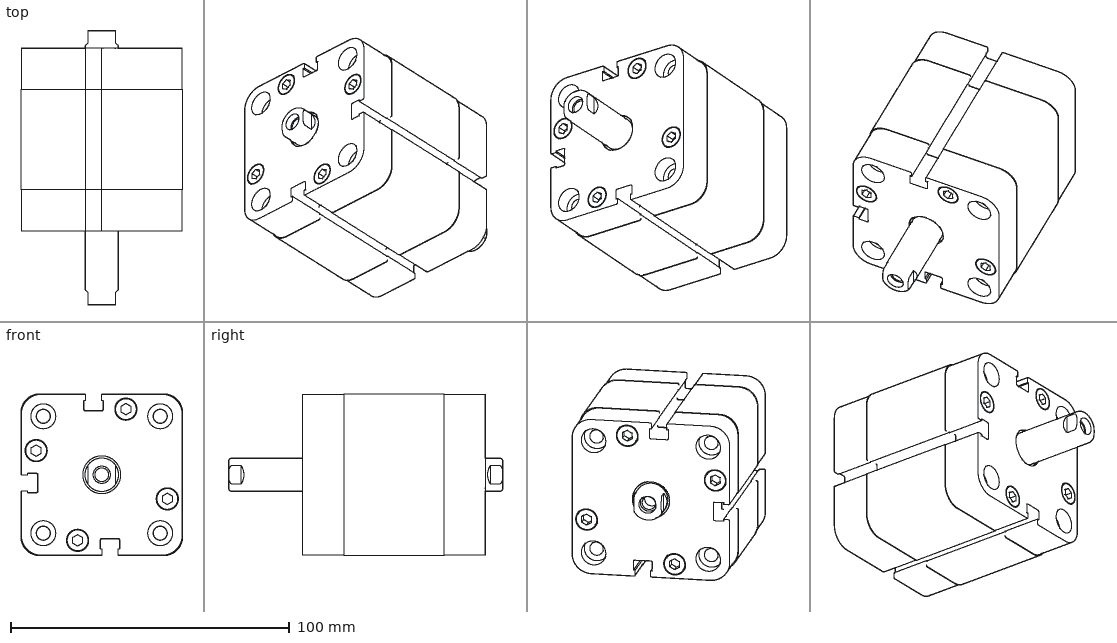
import cadquery as cq
import math


tube_side = 58.1
body_length = 65.7
cap_length = 14.9
cap_inset = 0.2
cap_corner_radius = 7.1
tube_corner_radius = 6.9

slot_offset = 3.0
slot_mouth_width = 5.6
slot_mouth_depth = 2.3
slot_inner_width = 6.9
slot_depth = 6.0
slot_mouth_rounding = 0.5
slot_floor_fillet = 0.5

rod_length = 98.5
rod_diameter = 12.0
rod_front_reach = 26.5
rod_end_fillet = 1.3
rod_flat_width = 10.0
rod_flat_length = 4.5
rod_recess_diameter = 13.6
rod_recess_depth = 1.0

rod_hole_mouth_diameter = 6.2
rod_hole_mouth_depth = 2.6
rod_hole_diameter = 4.9
rod_hole_depth = 11.8
drill_tip_angle = 118.0

mount_offset = 21.0
mount_hole_diameter = 4.9
mount_counterbore_diameter = 9.0
mount_counterbore_depth = 5.4

screw_near_offset = 8.7
screw_far_offset = 23.5
screw_recess_diameter = 8.0
screw_head_diameter = 7.5
screw_head_height = 3.9
hex_across_flats = 3.5
hex_depth = 3.4

cap_side = tube_side - 2 * cap_inset
body_middle = body_length / 2


def along_y(start):
    """XZ sketch plane at Y = start; negative extrusions run toward +Y."""
    return cq.Workplane("XZ", origin=(0, start, 0))


def cylinder(diameter, start, length, points=((0, 0),)):
    """Cylinders parallel to Y that run from Y = start toward +Y."""
    return along_y(start).pushPoints(points).circle(diameter / 2).extrude(-length)


def mirror_to_back(shape):
    """Copy of a front feature, mirrored about the middle of the body."""
    return shape.mirror("XZ", (0, body_middle, 0))


def t_slot(start, length, half_side):
    """Slot cutter for the top side of a body section whose top lies at Z = half_side."""
    center = -slot_offset
    floor = half_side - slot_depth
    lip = half_side - slot_mouth_depth
    half_mouth = slot_mouth_width / 2
    inner = (
        along_y(start)
        .center(center, (floor + lip) / 2)
        .rect(slot_inner_width, lip - floor)
        .extrude(-length)
        .edges("|Y and <Z")
        .fillet(slot_floor_fillet)
    )
    mouth = (
        along_y(start)
        .center(center, half_side)
        .moveTo(-half_mouth - slot_mouth_rounding, 0)
        .radiusArc((-half_mouth, -slot_mouth_rounding), slot_mouth_rounding)
        .vLineTo(-slot_mouth_depth)
        .hLineTo(half_mouth)
        .vLineTo(-slot_mouth_rounding)
        .radiusArc((half_mouth + slot_mouth_rounding, 0), slot_mouth_rounding)
        .close()
        .extrude(-length)
    )
    return inner.union(mouth)


def body_section(start, length, side, corner_radius):
    """Rounded square block with slots on its top, left and bottom sides."""
    section = along_y(start).rect(side, side).extrude(-length)
    section = section.edges("|Y").fillet(corner_radius)
    slot = t_slot(start, length, side / 2)
    for angle in (0, 90, 180):
        section = section.cut(slot.rotate((0, 0, 0), (0, -1, 0), angle))
    return section


def make_body():
    """Tube between two slightly smaller end caps."""
    front_cap = body_section(0, cap_length, cap_side, cap_corner_radius)
    tube = body_section(cap_length, body_length - 2 * cap_length, tube_side, tube_corner_radius)
    return tube.union(front_cap).union(mirror_to_back(front_cap))


def mounting_holes():
    corners = [(x, z) for x in (-mount_offset, mount_offset) for z in (-mount_offset, mount_offset)]
    counterbores = cylinder(mount_counterbore_diameter, 0, mount_counterbore_depth, corners)
    through_holes = cylinder(mount_hole_diameter, 0, body_length, corners)
    return through_holes.union(counterbores).union(mirror_to_back(counterbores))


def screw_cavities():
    """Ring-shaped gaps around the flush screw heads, plus their hexagon sockets."""
    centers = [
        (screw_near_offset, screw_far_offset),
        (-screw_far_offset, screw_near_offset),
        (-screw_near_offset, -screw_far_offset),
        (screw_far_offset, -screw_near_offset),
    ]
    recesses = cylinder(screw_recess_diameter, 0, screw_head_height, centers)
    heads = cylinder(screw_head_diameter, 0, screw_head_height, centers)
    hex_across_corners = hex_across_flats / math.cos(math.radians(30))
    socket = along_y(0).polygon(6, hex_across_corners).extrude(-hex_depth).rotate((0, 0, 0), (0, 1, 0), 90)
    cavities = recesses.cut(heads)
    for x, z in centers:
        cavities = cavities.union(socket.translate((x, 0, z)))
    return cavities


def rod_flats():
    """Wrench-flat cutters at the front rod end, with a 45 degree run-out."""
    outer = rod_diameter / 2
    flat = rod_flat_width / 2
    run_out = outer - flat
    tip = -rod_front_reach
    cutter = (
        cq.Workplane("XY")
        .moveTo(flat, tip)
        .lineTo(flat, tip + rod_flat_length)
        .lineTo(outer, tip + rod_flat_length + run_out)
        .lineTo(outer, tip)
        .close()
        .extrude(outer, both=True)
    )
    return cutter.union(cutter.mirror("YZ"))


def rod_end_hole():
    """Stepped blind hole in the front rod end, finished with a drill tip."""
    radius = rod_hole_diameter / 2
    mouth_radius = rod_hole_mouth_diameter / 2
    tip = -rod_front_reach
    tip_height = radius / math.tan(math.radians(drill_tip_angle / 2))
    return (
        cq.Workplane("XY")
        .moveTo(0, tip)
        .lineTo(mouth_radius, tip)
        .lineTo(mouth_radius, tip + rod_hole_mouth_depth)
        .lineTo(radius, tip + rod_hole_mouth_depth)
        .lineTo(radius, tip + rod_hole_depth)
        .lineTo(0, tip + rod_hole_depth + tip_height)
        .close()
        .revolve(360, (0, 0, 0), (0, 1, 0))
    )


def make_rod():
    rod = cylinder(rod_diameter, -rod_front_reach, rod_length)
    rod = rod.faces("<Y or >Y").edges().fillet(rod_end_fillet)
    rod_middle = rod_length / 2 - rod_front_reach
    for feature in (rod_flats(), rod_end_hole()):
        rod = rod.cut(feature).cut(feature.mirror("XZ", (0, rod_middle, 0)))
    return rod


rod_recess = cylinder(rod_recess_diameter, 0, rod_recess_depth)
cap_details = rod_recess.union(screw_cavities())

body = make_body().cut(mounting_holes()).cut(cap_details).cut(mirror_to_back(cap_details))
result = body.union(make_rod())